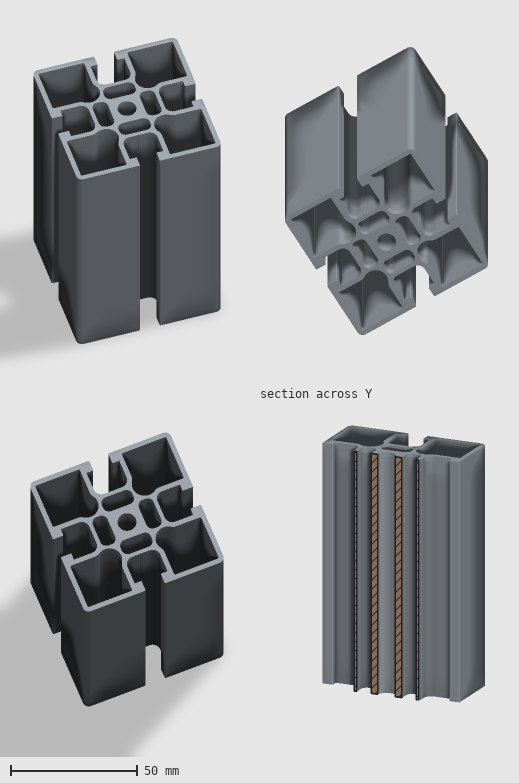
import cadquery as cq

side = 60.0
length = 100.0
half_side = side / 2
corner_radius = 2.4

mouth_width = 8.2
lip_thickness = 4.5
lip_radius = 0.4
slot_width = 14.0
slot_depth = 15.4
slot_floor_radius = 3.2
slot_floor = half_side - slot_depth
lip_inner = half_side - lip_thickness

groove_width = 0.4
groove_depth = 0.4

wall = 2.0
chamber_inner = slot_width / 2 + wall
chamber_outer = half_side - wall
chamber_radius = 0.5
bulge_center = 12.5
bulge_radius = 5.0
bulge_blend_radius = 4.0

core_bore_diameter = 7.5
channel_inner = 6.7
channel_outer = 13.0
channel_length = 13.0
channel_radius = 2.5


def prism(x_min, x_max, y_min, y_max):
    """Full-length rectangular bar between the given X and Y limits."""
    return (
        cq.Workplane("XY")
        .center((x_min + x_max) / 2, (y_min + y_max) / 2)
        .rect(x_max - x_min, y_max - y_min)
        .extrude(length)
    )


def make_blank():
    """Square bar with rounded outer corners."""
    return prism(-half_side, half_side, -half_side, half_side).edges("|Z").fillet(corner_radius)


def make_slot():
    """T-slot opening on +X, with rounded floor corners, rounded lips and a floor groove."""
    cavity = prism(slot_floor, lip_inner, -slot_width / 2, slot_width / 2)
    cavity = cavity.edges("|Z and <X").fillet(slot_floor_radius)
    half_mouth = mouth_width / 2
    mouth = (
        cq.Workplane("XY")
        .moveTo(lip_inner, -half_mouth - lip_radius)
        .radiusArc((lip_inner + lip_radius, -half_mouth), lip_radius)
        .lineTo(half_side - lip_radius, -half_mouth)
        .radiusArc((half_side, -half_mouth - lip_radius), lip_radius)
        .lineTo(half_side, half_mouth + lip_radius)
        .radiusArc((half_side - lip_radius, half_mouth), lip_radius)
        .lineTo(lip_inner + lip_radius, half_mouth)
        .radiusArc((lip_inner, half_mouth + lip_radius), lip_radius)
        .close()
        .extrude(length)
    )
    groove = (
        cq.Workplane("XY")
        .polyline([
            (slot_floor, -groove_width / 2),
            (slot_floor - groove_depth, 0),
            (slot_floor, groove_width / 2),
        ])
        .close()
        .extrude(length)
    )
    return cavity.union(mouth).union(groove)


def make_channel():
    """Rounded hollow between the core bore and the +X slot floor."""
    channel = prism(channel_inner, channel_outer, -channel_length / 2, channel_length / 2)
    return channel.edges("|Z").fillet(channel_radius)


def make_chamber():
    """Corner hollow in the +X +Y quadrant, its bulge blended into both straight walls."""
    square = prism(chamber_inner, chamber_outer, chamber_inner, chamber_outer)
    bulge = cq.Workplane("XY").center(bulge_center, bulge_center).circle(bulge_radius).extrude(length)
    chamber = square.union(bulge)
    wall_offset = bulge_center - chamber_inner
    crossing = bulge_center + (bulge_radius**2 - wall_offset**2) ** 0.5
    mid_height = length / 2
    for point in [(chamber_inner, crossing, mid_height), (crossing, chamber_inner, mid_height)]:
        chamber = chamber.edges(cq.NearestToPointSelector(point)).fillet(bulge_blend_radius)
    far_corners = [
        (chamber_outer, chamber_outer, mid_height),
        (chamber_inner, chamber_outer, mid_height),
        (chamber_outer, chamber_inner, mid_height),
    ]
    for point in far_corners:
        chamber = chamber.edges(cq.NearestToPointSelector(point)).fillet(chamber_radius)
    return chamber


core_bore = cq.Workplane("XY").circle(core_bore_diameter / 2).extrude(length)
result = make_blank().cut(core_bore)
for hollow in [make_slot(), make_channel(), make_chamber()]:
    for angle in (0, 90, 180, 270):
        result = result.cut(hollow.rotate((0, 0, 0), (0, 0, 1), angle))